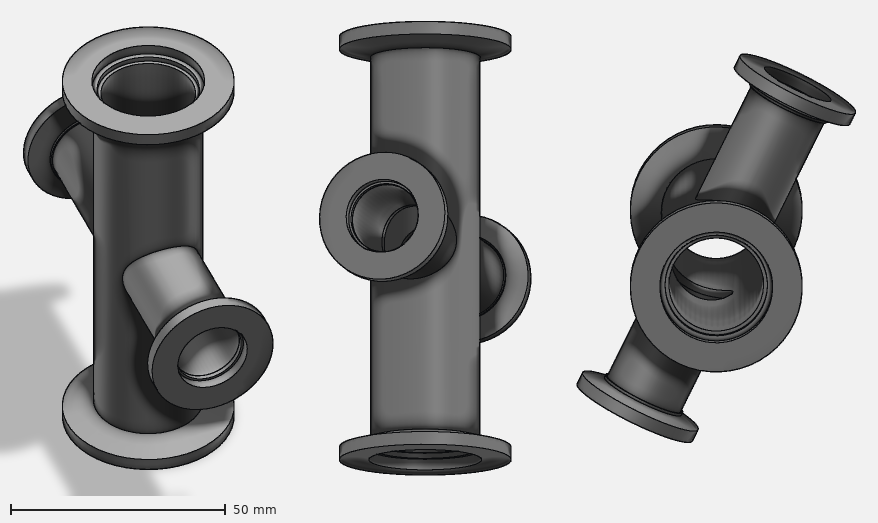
import cadquery as cq
import math

RUN_LENGTH = 100.0
BRANCH_SPAN = 86.4
RUN_OUTER_D = 25.4
RUN_BORE_D = 22.0
BRANCH_OUTER_D = 19.0
BRANCH_BORE_D = 16.0

RIM_THICKNESS = 3.0
TAPER_ANGLE = 15.0

RUN_FLANGE_D = 40.0
RUN_RECESS_D = 26.2
RUN_RECESS_DEPTH = 2.5
RUN_LIP_D = 23.8
RUN_SOCKET_D = 25.6
RUN_TUBE_INSET = 3.7

BRANCH_FLANGE_D = 30.0
BRANCH_RECESS_D = 17.2
BRANCH_RECESS_DEPTH = 2.6
BRANCH_LIP_D = 16.1
BRANCH_SOCKET_D = 19.3
BRANCH_TUBE_INSET = 3.8
BRANCH_NECK_D = 20.0
BRANCH_NECK_END = 5.0


def taper_height(outer_d, inner_d):
    """Axial length of the tapered clamping face between two diameters."""
    return (outer_d - inner_d) / 2 * math.tan(math.radians(TAPER_ANGLE))


def tapered_disc(flange_d, small_d):
    """Rim with its face on Z = 0 and its taper narrowing towards +Z."""
    taper_end = RIM_THICKNESS + taper_height(flange_d, small_d)
    return (
        cq.Workplane("XZ")
        .moveTo(0, 0)
        .lineTo(flange_d / 2, 0)
        .lineTo(flange_d / 2, RIM_THICKNESS)
        .lineTo(small_d / 2, taper_end)
        .lineTo(0, taper_end)
        .close()
        .revolve(360, (0, 0), (0, 1))
    )


def rod(diameter, start, end):
    """Cylinder on the Z axis between two heights."""
    return cq.Workplane("XY").workplane(offset=start).circle(diameter / 2).extrude(end - start)


def stepped_bore(blank, recess_d, recess_depth, lip_d, socket_d, inset):
    """Cut the sealing recess, the lip bore and the tube socket into a flange blank."""
    back = blank.val().BoundingBox().zmax
    return (
        blank.cut(rod(recess_d, 0, recess_depth))
        .cut(rod(lip_d, 0, inset))
        .cut(rod(socket_d, inset, back))
    )


def make_run_flange():
    blank = tapered_disc(RUN_FLANGE_D, RUN_SOCKET_D)
    return stepped_bore(
        blank, RUN_RECESS_D, RUN_RECESS_DEPTH, RUN_LIP_D, RUN_SOCKET_D, RUN_TUBE_INSET
    )


def make_branch_flange():
    neck = rod(BRANCH_NECK_D, 0, BRANCH_NECK_END)
    blank = tapered_disc(BRANCH_FLANGE_D, BRANCH_NECK_D).union(neck)
    return stepped_bore(
        blank,
        BRANCH_RECESS_D,
        BRANCH_RECESS_DEPTH,
        BRANCH_LIP_D,
        BRANCH_SOCKET_D,
        BRANCH_TUBE_INSET,
    )


def make_run_tube():
    """Vertical tube with a cross hole that opens into both branches."""
    half_length = RUN_LENGTH / 2 - RUN_TUBE_INSET
    tube = rod(RUN_OUTER_D, -half_length, half_length).cut(rod(RUN_BORE_D, -half_length, half_length))
    cross_hole = rod(BRANCH_BORE_D, -RUN_OUTER_D, RUN_OUTER_D).rotate((0, 0, 0), (0, 1, 0), 90)
    return tube.cut(cross_hole)


def make_branch_tube():
    """Tube along +X whose inner end is coped to fit the outside of the run."""
    end = BRANCH_SPAN / 2 - BRANCH_TUBE_INSET
    tube = rod(BRANCH_OUTER_D, 0, end).cut(rod(BRANCH_BORE_D, 0, end))
    tube = tube.rotate((0, 0, 0), (0, 1, 0), 90)
    return tube.cut(rod(RUN_OUTER_D, -BRANCH_OUTER_D, BRANCH_OUTER_D))


run_tube = make_run_tube()

run_flanges = []
branch_flanges = []
branch_tubes = []
for turn in (0, 180):
    run_flange = make_run_flange().translate((0, 0, -RUN_LENGTH / 2))
    run_flanges.append(run_flange.rotate((0, 0, 0), (1, 0, 0), turn).val())

    branch_flange = make_branch_flange().translate((0, 0, -BRANCH_SPAN / 2))
    branch_flange = branch_flange.rotate((0, 0, 0), (0, 1, 0), 90)
    branch_flanges.append(branch_flange.rotate((0, 0, 0), (0, 0, 1), turn).val())

    branch_tubes.append(make_branch_tube().rotate((0, 0, 0), (0, 0, 1), turn).val())

result = cq.Compound.makeCompound([run_tube.val(), *run_flanges, *branch_flanges, *branch_tubes])